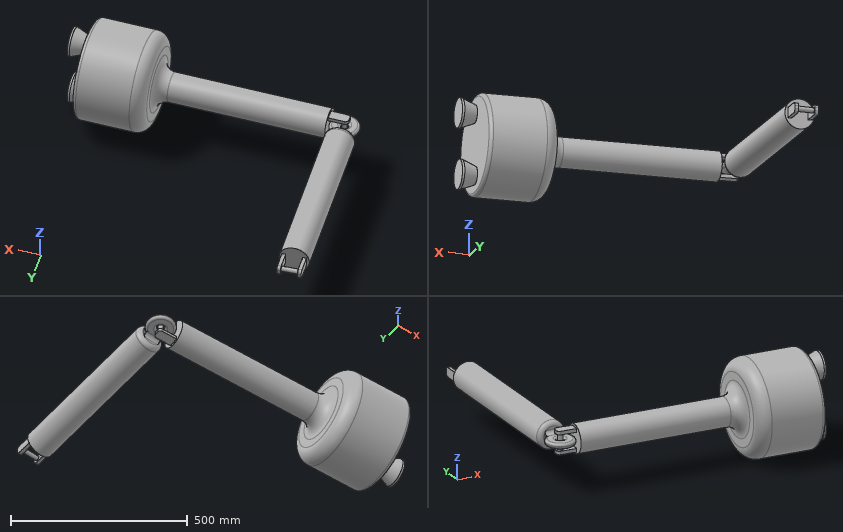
import cadquery as cq
import math

overall_length = 861.0

arm_radius = 45.0
pin_spacing = 600.0
fork_reach = 45.0
upper_arm_start = 43.0
upper_arm_end = pin_spacing - fork_reach
end_rounding = 15.0

prong_width = 30.0
prong_tip = 15.0
prong_inner = 25.0
prong_outer = 36.0
prong_corner = 10.0
pin_radius = 8.0

eye_radius = 45.0
eye_half_thickness = 9.0
eye_bore_radius = 12.0
eye_rounding = 8.0
tongue_width = 52.0
tongue_fillet = 12.0
tongue_overlap = 9.0

forearm_tilt = 3.2
housing_radius = 150.0
housing_start = 555.0
housing_length = 210.0
housing_rear = housing_start + housing_length
housing_fillet = 40.0
housing_rear_fillet = 10.0

nozzle_offset = 91.0
nozzle_throat_radius = 27.0
nozzle_rim_radius = 44.0
nozzle_rim_length = 7.0
tilt_angle = math.radians(forearm_tilt)
rim_corner_x = overall_length - arm_radius
nozzle_end = (rim_corner_x - nozzle_rim_radius * math.sin(tilt_angle)) / math.cos(tilt_angle)


def make_fork():
    """Fork with its pin along Z at the origin, opening away from an arm face at +X."""
    prong_length = fork_reach + prong_tip
    prong_thickness = prong_outer - prong_inner
    fork = cq.Workplane("XY").circle(pin_radius).extrude(prong_inner + prong_outer)
    fork = fork.translate((0, 0, -(prong_inner + prong_outer) / 2))
    for side in (-1, 1):
        prong = cq.Workplane("XY").box(prong_length, prong_width, prong_thickness)
        prong = prong.edges("|Z and <X").fillet(prong_corner)
        prong_middle = (prong_inner + prong_outer) / 2
        fork = fork.union(prong.translate((prong_length / 2 - prong_tip, 0, side * prong_middle)))
    return fork


def make_eye():
    """Elbow eye: a bored disc with rounded rim and bore edges, merged with its tongue."""
    eye_height = 2 * eye_half_thickness
    eye = cq.Workplane("XY").circle(eye_radius).circle(eye_bore_radius).extrude(eye_height)
    eye = eye.edges().fillet(eye_rounding).translate((0, 0, -eye_half_thickness))

    tongue_root = (eye_bore_radius + eye_radius) / 2
    fillet_start = upper_arm_start - tongue_fillet
    buried_end = upper_arm_start + tongue_overlap
    wide = eye_half_thickness + tongue_fillet
    arc_inset = tongue_fillet * math.sqrt(0.5)
    arc_y = fillet_start + arc_inset
    arc_z = wide - arc_inset
    tongue = (
        cq.Workplane("YZ")
        .moveTo(tongue_root, -eye_half_thickness)
        .lineTo(fillet_start, -eye_half_thickness)
        .threePointArc((arc_y, -arc_z), (upper_arm_start, -wide))
        .lineTo(buried_end, -wide)
        .lineTo(buried_end, wide)
        .lineTo(upper_arm_start, wide)
        .threePointArc((arc_y, arc_z), (fillet_start, eye_half_thickness))
        .lineTo(tongue_root, eye_half_thickness)
        .close()
        .extrude(tongue_width / 2, both=True)
    )

    flat_end = cq.Workplane("XZ").circle(arm_radius - end_rounding).extrude(-buried_end)
    return eye.union(tongue.intersect(flat_end))


def make_upper_arm():
    """Tube along +Y with the elbow eye at its start and a fork at its far end."""
    tube = cq.Workplane("XZ", origin=(0, upper_arm_start, 0)).circle(arm_radius)
    tube = tube.extrude(upper_arm_start - upper_arm_end)
    tube = tube.faces("<Y").edges().fillet(end_rounding)

    fork = make_fork().rotate((0, 0, 0), (0, 1, 0), 90)
    fork = fork.rotate((0, 0, 0), (1, 0, 0), -90).translate((0, pin_spacing, 0))
    return tube.union(make_eye()).union(fork)


def place_on_forearm(body):
    """Lean a body built along +X onto the forearm axis."""
    return body.rotate((0, 0, 0), (0, 0, 1), -forearm_tilt)


def make_forearm():
    """Fork, tube and round housing along one axis."""
    tube = cq.Workplane("YZ", origin=(fork_reach, 0, 0)).circle(arm_radius)
    tube = tube.extrude(housing_start - fork_reach)
    housing = cq.Workplane("YZ", origin=(housing_start, 0, 0)).circle(housing_radius)
    housing = housing.extrude(housing_length)
    housing = housing.faces("<X").edges().fillet(housing_fillet)
    housing = housing.faces(">X").edges().fillet(housing_rear_fillet)

    blend_start = (housing_start - housing_fillet, arm_radius)
    blend_end = (housing_start, arm_radius + housing_fillet)
    arc_inset = housing_fillet * math.sqrt(0.5)
    blend_middle = (blend_start[0] + arc_inset, blend_end[1] - arc_inset)
    blend = (
        cq.Workplane("XY")
        .moveTo(*blend_start)
        .threePointArc(blend_middle, blend_end)
        .lineTo(housing_start, 0)
        .lineTo(blend_start[0], 0)
        .close()
        .revolve(360, (0, 0, 0), (1, 0, 0))
    )
    return place_on_forearm(tube.union(housing).union(blend).union(make_fork()))


def make_nozzle(height):
    """Flared nozzle standing on the housing rear face, centred at the given Z."""
    nozzle = (
        cq.Workplane("XY")
        .moveTo(housing_rear, 0)
        .lineTo(housing_rear, nozzle_throat_radius)
        .lineTo(nozzle_end - nozzle_rim_length, nozzle_rim_radius)
        .lineTo(nozzle_end, nozzle_rim_radius)
        .lineTo(nozzle_end, 0)
        .close()
        .revolve(360, (0, 0, 0), (1, 0, 0))
    )
    return place_on_forearm(nozzle.translate((0, 0, height)))


upper_arm = make_upper_arm()
forearm = make_forearm()
nozzles = [make_nozzle(side * nozzle_offset) for side in (-1, 1)]

result = cq.Compound.makeCompound(
    [upper_arm.solids().val(), forearm.solids().val(), *[nozzle.val() for nozzle in nozzles]]
)